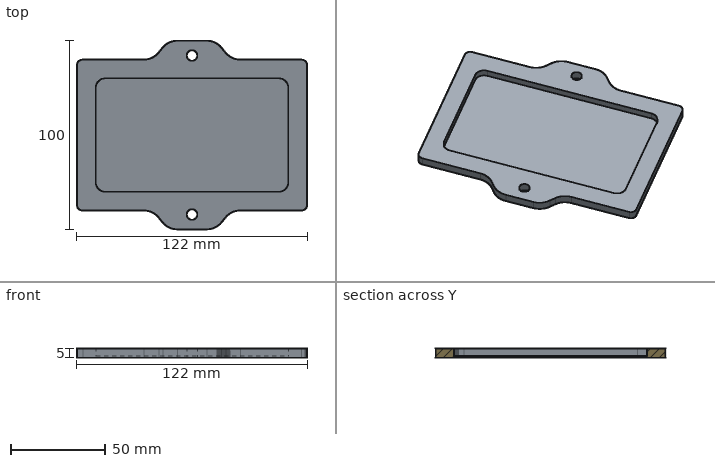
import cadquery as cq

plate_length = 122.0
plate_width = 80.0
thickness = 5.0
corner_radius = 3.0

rim_width = 10.0
recess_depth = 4.0
recess_corner_radius = 5.0

overall_width = 100.0
ear_tip_length = 25.1
ear_base_length = 41.5
ear_blend_radius = 10.0
hole_diameter = 5.5
hole_spacing = 84.2


def make_blank():
    """Rectangle with a tapered ear on each long side, all corners rounded."""
    half_plate = plate_width / 2
    half_overall = overall_width / 2
    half_base = ear_base_length / 2
    half_tip = ear_tip_length / 2

    blank = cq.Workplane("XY").box(plate_length, plate_width, thickness, centered=(True, True, False))
    blank = blank.edges("|Z").fillet(corner_radius)

    ears = (
        cq.Workplane("XY")
        .moveTo(-half_base, -half_plate)
        .lineTo(-half_tip, -half_overall)
        .lineTo(half_tip, -half_overall)
        .lineTo(half_base, -half_plate)
        .lineTo(half_base, half_plate)
        .lineTo(half_tip, half_overall)
        .lineTo(-half_tip, half_overall)
        .lineTo(-half_base, half_plate)
        .close()
        .extrude(thickness)
    )
    blank = blank.union(ears)

    margin = 1.2
    ear_zone = cq.selectors.BoxSelector(
        (-half_base - margin, -half_overall - margin, -margin),
        (half_base + margin, half_overall + margin, thickness + margin),
    )
    return blank.edges("|Z").edges(ear_zone).fillet(ear_blend_radius)


def make_recess():
    recess = (
        cq.Workplane("XY")
        .workplane(offset=thickness - recess_depth)
        .rect(plate_length - 2 * rim_width, plate_width - 2 * rim_width)
        .extrude(recess_depth)
    )
    return recess.edges("|Z").fillet(recess_corner_radius)


def make_holes():
    return (
        cq.Workplane("XY")
        .pushPoints([(0, -hole_spacing / 2), (0, hole_spacing / 2)])
        .circle(hole_diameter / 2)
        .extrude(thickness)
    )


result = make_blank().cut(make_recess()).cut(make_holes())